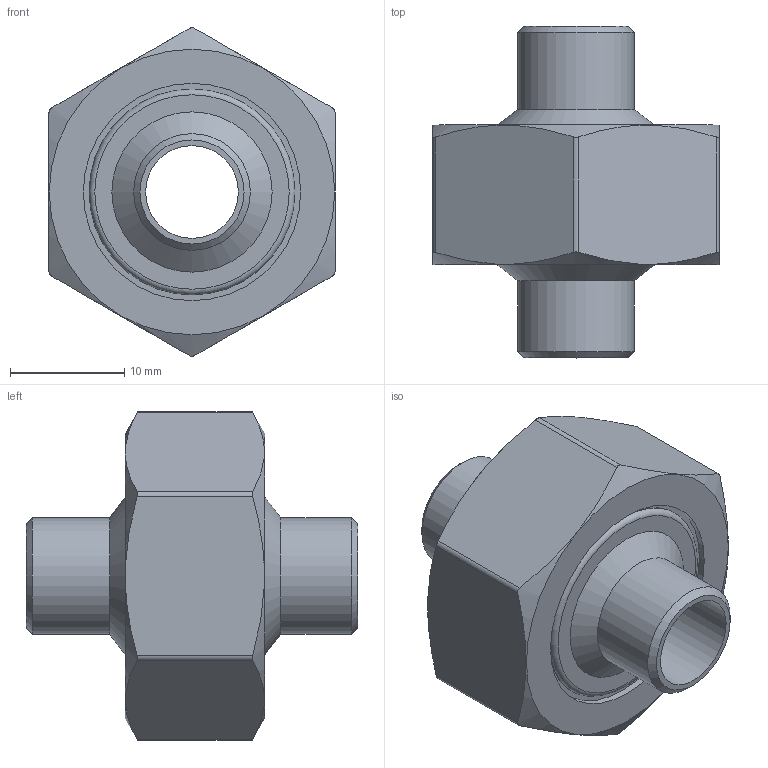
import cadquery as cq
import math

overall_length = 29.0
front_end = -overall_length / 2
back_end = overall_length / 2
nut_length = 12.2
nut_front_setback = 8.15
nut_front = front_end + nut_front_setback
nut_back = nut_front + nut_length

across_flats = 25.0
hexagon_sides = 6
hexagon_half_sector = 180 / hexagon_sides
across_corners = across_flats / math.cos(math.radians(hexagon_half_sector))
corner_fillet = 0.5
face_circle_diameter = 24.95
face_chamfer_angle = 30.0

bore_diameter = 8.1
pipe_diameter = 10.2
end_chamfer = 0.55
front_pipe_length = 6.75
back_pipe_length = 7.3

cone_diameter = 14.0
cone_slope_angle = 37.5
cone_length = (cone_diameter - pipe_diameter) / 2 * math.tan(math.radians(cone_slope_angle))

opening_diameter = 19.0
collar_diameter = 18.0
collar_fillet = 0.5
collar_front = front_end + front_pipe_length + cone_length
opening_depth = 0.6


def cylinder(diameter, start, end):
    """Solid cylinder on the Y axis between two Y positions."""
    profile = cq.Workplane("XZ", origin=(0, start, 0)).circle(diameter / 2)
    return profile.extrude(start - end)


def nut_envelope():
    """Turned blank whose bevelled ends cut back the corners of the hexagon."""
    face_radius = face_circle_diameter / 2
    blank_radius = across_corners / 2
    bevel = (blank_radius - face_radius) * math.tan(math.radians(face_chamfer_angle))
    outline = cq.Workplane("XY").polyline([
        (0, nut_front),
        (face_radius, nut_front),
        (blank_radius, nut_front + bevel),
        (blank_radius, nut_back - bevel),
        (face_radius, nut_back),
        (0, nut_back),
    ])
    return outline.close().revolve(360, (0, 0, 0), (0, 1, 0))


def make_nut():
    """Hexagon with corners up and down, bevelled ends and an open front."""
    hexagon = cq.Workplane("XZ", origin=(0, nut_front, 0)).polygon(hexagon_sides, across_corners)
    prism = hexagon.extrude(-nut_length).rotate((0, 0, 0), (0, 1, 0), hexagon_half_sector)
    prism = prism.edges("|Y").fillet(corner_fillet)
    opening = cylinder(opening_diameter, nut_front, nut_front + opening_depth)
    return prism.intersect(nut_envelope()).cut(opening)


def make_collar():
    """Round collar with a filleted front rim, joined to the floor of the opening."""
    collar = cylinder(collar_diameter, collar_front, nut_front + opening_depth)
    return collar.faces("<Y").edges().fillet(collar_fillet)


def make_pipe(end, pipe_length, inward):
    """Pipe end with a chamfered tip and a conical shoulder; inward is the Y sign towards the nut."""
    pipe_radius = pipe_diameter / 2
    cone_radius = cone_diameter / 2
    shoulder = end + inward * pipe_length
    outline = cq.Workplane("XY").polyline([
        (0, end),
        (pipe_radius - end_chamfer, end),
        (pipe_radius, end + inward * end_chamfer),
        (pipe_radius, shoulder),
        (cone_radius, shoulder + inward * cone_length),
        (0, shoulder + inward * cone_length),
    ])
    return outline.close().revolve(360, (0, 0, 0), (0, 1, 0))


front_pipe = make_pipe(front_end, front_pipe_length, 1)
back_pipe = make_pipe(back_end, back_pipe_length, -1)
body = make_nut().union(make_collar()).union(front_pipe).union(back_pipe)
result = body.cut(cylinder(bore_diameter, front_end, back_end))